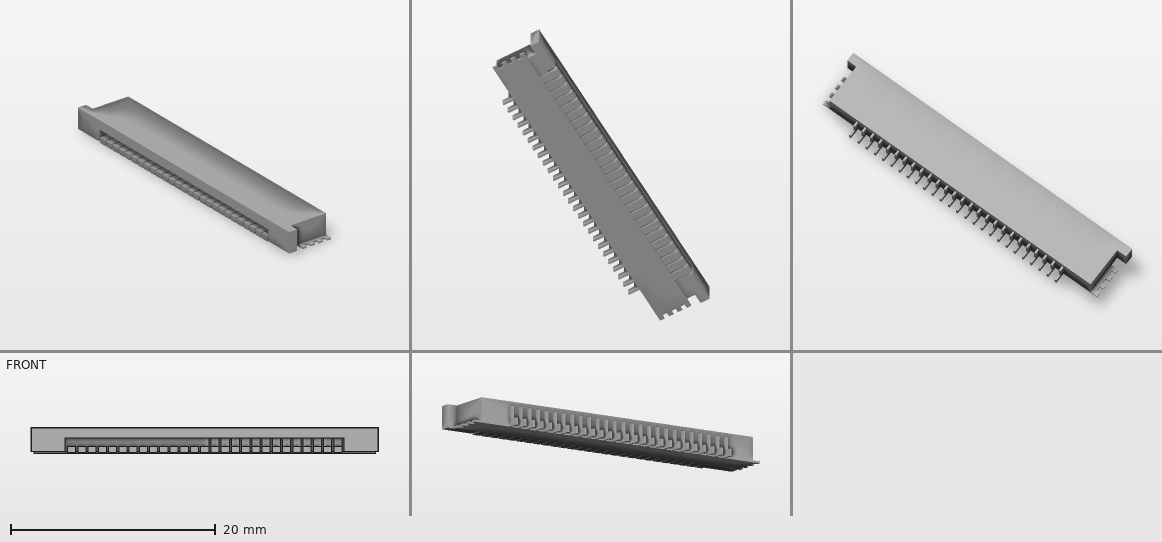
import cadquery as cq

total_length = 33.92
total_depth = 6.55
total_height = 2.55

housing_length = 31.75
housing_back = 5.35
body_bottom = 0.2
slider_depth = 1.0

contact_count = 26
contact_span = 25.0
contact_pitch = contact_span / (contact_count - 1)
contact_width = 0.2
contact_back = 5.87
contact_top = 2.0
tail_top = 0.7
tooth_width = contact_pitch - contact_width
tooth_bottom = 0.1
tooth_top = tail_top

opening_left = -13.67
opening_right = contact_span / 2 + contact_pitch + contact_width / 2
opening_top = 1.53
slot_depth = slider_depth
slot_end = slider_depth + slot_depth

plate_length = 32.5
plate_tip_length = 33.38
finger_count = 4
finger_pitch = contact_pitch
finger_width = 0.47
plate_front = housing_back - (finger_count - 1) * finger_pitch - finger_width

contact_xs = [i * contact_pitch - contact_span / 2 for i in range(contact_count)]


def box(x_range, y_range, z_range):
    """Axis-aligned box between pairs of limits."""
    x0, x1 = x_range
    y0, y1 = y_range
    z0, z1 = z_range
    return cq.Workplane("XY").box(x1 - x0, y1 - y0, z1 - z0, centered=False).translate((x0, y0, z0))


def centred(middle, width):
    """Limits of a width spread evenly about a middle."""
    return (middle - width / 2, middle + width / 2)


def repeat_at(shape, xs):
    """Copies of a shape moved to each X position."""
    copies = cq.Workplane("XY")
    for x in xs:
        copies = copies.add(shape.translate((x, 0, 0)))
    return copies.combine()


def make_body():
    """Housing and slider, with the cable opening cut back to the housing's front face."""
    body_z = (body_bottom, total_height)
    housing = box(centred(0, housing_length), (slider_depth, housing_back), body_z)
    slider = box(centred(0, total_length), (0, slider_depth), body_z)
    opening = box((opening_left, opening_right), (0, slider_depth), (body_bottom, opening_top))
    return housing.union(slider).cut(opening)


def make_slots():
    """Slots in the opening's back wall on the +X half: one per contact and one past the last tooth."""
    slot = box(centred(0, contact_width), (slider_depth, slot_end), (body_bottom, opening_top))
    slot_xs = contact_xs[contact_count // 2:] + [contact_xs[-1] + contact_pitch]
    return repeat_at(slot, slot_xs)


def make_teeth():
    """Row of teeth in the opening, one on each side of every contact, running back under the housing."""
    tooth = box(centred(0, tooth_width), (0, slot_end), (tooth_bottom, tooth_top))
    tooth_xs = [x - contact_pitch / 2 for x in contact_xs] + [contact_xs[-1] + contact_pitch / 2]
    return repeat_at(tooth, tooth_xs)


def make_contacts():
    """Thin contacts through the housing, stepping down to solder tails behind it."""
    profile = [
        (slot_end, 0),
        (total_depth, 0),
        (total_depth, tail_top),
        (contact_back, tail_top),
        (contact_back, contact_top),
        (slot_end, contact_top),
    ]
    contact = cq.Workplane("YZ").polyline(profile).close().extrude(contact_width / 2, both=True)
    return repeat_at(contact, contact_xs)


def make_base_plate():
    """Plate on the seating plane whose finger strips stick out at both ends."""
    plate_z = (0, body_bottom)
    plate = box(centred(0, plate_length), (plate_front, housing_back), plate_z)
    for i in range(finger_count):
        finger_y = plate_front + i * finger_pitch
        strip = box(centred(0, plate_tip_length), (finger_y, finger_y + finger_width), plate_z)
        plate = plate.union(strip)
    return plate


result = make_body().cut(make_slots())
for feature in (make_teeth(), make_contacts(), make_base_plate()):
    result = result.union(feature)